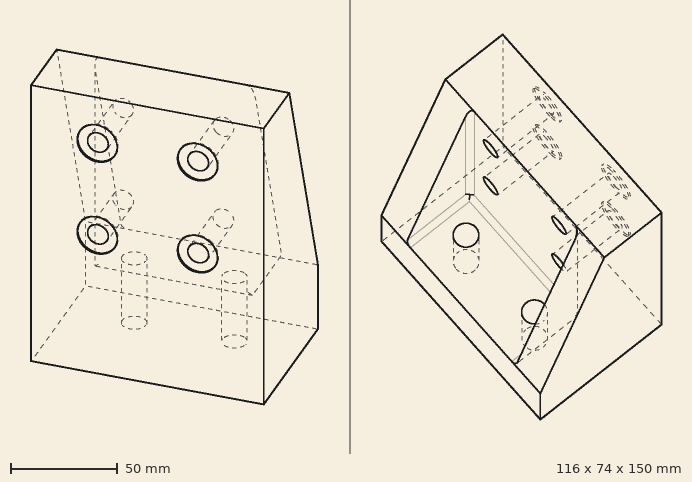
import cadquery as cq

width = 116.0
depth = 74.0
height = 150.0
wall = 35.0
foot_height = wall

pocket_width = 80.0
pocket_floor = foot_height
pocket_radius = 3.0
pocket_overrun = 30.0

hole_pitch = 50.0
hole_diameter = 10.4
counterbore_diameter = 20.0
counterbore_depth = 0.96
upper_hole_drop = hole_pitch / 2

foot_hole_diameter = 12.0
foot_hole_y = hole_pitch

hole_columns = (-hole_pitch / 2, hole_pitch / 2)


def make_body():
    """Side profile with the sloping rear edge, extruded across the width."""
    profile = [
        (0, 0),
        (depth, 0),
        (depth, foot_height),
        (wall, height),
        (0, height),
    ]
    return cq.Workplane("YZ").polyline(profile).close().extrude(width / 2, both=True)


def make_pocket():
    """Cutter open to the rear and the top, with mitred floor fillets and rounded upright corners."""
    pocket_length = depth - wall + pocket_overrun
    pocket_height = height - pocket_floor + pocket_overrun
    block = cq.Workplane("XY").box(
        pocket_width, pocket_length, pocket_height, centered=(True, False, False)
    )
    rounded_floor = block.faces("<Z").edges("not >Y").fillet(pocket_radius)
    rounded_corners = block.edges("|Z and <Y").fillet(pocket_radius)
    return rounded_floor.intersect(rounded_corners).translate((0, wall, pocket_floor))


def make_plate_hole(x, z):
    """Hole along Y with a shallow counterbore in the front face."""
    front = cq.Workplane("XZ", origin=(x, 0, z))
    bore = front.circle(hole_diameter / 2).extrude(-depth)
    counterbore = front.circle(counterbore_diameter / 2).extrude(-counterbore_depth)
    return bore.union(counterbore)


def make_foot_hole(x):
    """Plain vertical hole through the foot."""
    base = cq.Workplane("XY", origin=(x, foot_hole_y, 0))
    return base.circle(foot_hole_diameter / 2).extrude(foot_height)


upper_row = height - upper_hole_drop
hole_rows = (upper_row, upper_row - hole_pitch)

result = make_body().cut(make_pocket())
for x in hole_columns:
    result = result.cut(make_foot_hole(x))
    for z in hole_rows:
        result = result.cut(make_plate_hole(x, z))